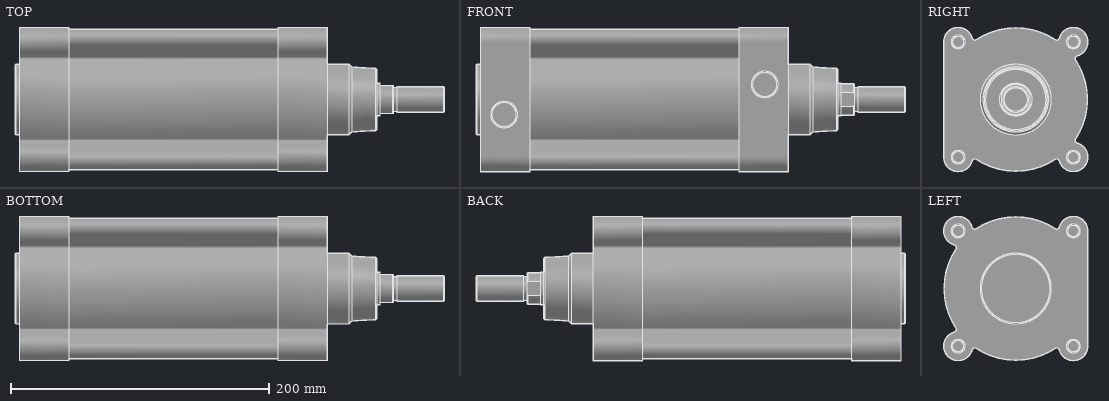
import cadquery as cq
import math


overall_length = 333.0

cap_length = 38.3
cap_radius = 55.5
cap_half_size = 56.0
cap_lobe_radius = 11.3
cap_lobe_offset = cap_half_size - cap_lobe_radius
cap_notch_fillet = 2.0

screw_hole_radius = 4.3
screw_hole_depth = 20.0
screw_hole_chamfer = 1.0

port_radius = 9.3
port_depth = 23.3
port_chamfer = 1.0
port_setback = 18.3
port_height = 11.5

boss_diameter = 55.0
boss_radius = boss_diameter / 2
boss_length = 3.5
boss_chamfer = 1.0
collar_length = 16.5
shoulder_chamfer = 2.3
nose_length = 21.5
nose_base_radius = 25.3
nose_middle_radius = 24.5
nose_end_radius = 24.3
nose_chamfer = 1.0

barrel_length = 162.0
barrel_radius = 53.0
rib_width = 15.0
rib_radius = rib_width / 2
rib_offset = 47.0
rib_fillet = 2.0

rod_diameter = 25.3
rod_radius = rod_diameter / 2
shank_diameter = 24.5
shank_radius = shank_diameter / 2
rod_projection = 13.0
shank_chamfer = 0.5
flat_offset = 11.0
shank_setback = 2.5
relief_radius = 9.3
relief_length = 2.5
thread_diameter = 20.0
thread_radius = thread_diameter / 2
thread_chamfer = 1.0

front_cap_start = cap_length + barrel_length
front_face = front_cap_start + cap_length
collar_end = front_face + collar_length
nose_end = collar_end + nose_length
rod_shoulder = nose_end + rod_projection
shank_start = nose_end + shank_setback
thread_start = rod_shoulder + relief_length
thread_length = overall_length - boss_length - thread_start


def x_cylinder(radius, start, length, y=0.0, z=0.0):
    """A cylinder along X that begins at `start`."""
    return cq.Workplane("YZ", origin=(start, y, z)).circle(radius).extrude(length)


def corners(offset):
    """The four (y, z) corner places at the given offset from the axis."""
    return [(y, z) for y in (-offset, offset) for z in (-offset, offset)]


def cap_notches():
    """The (y, z) places where the round of the cap meets its lobes, apart from the flat -Y side."""
    lobe_distance = cap_lobe_offset * math.sqrt(2)
    along = (cap_radius**2 - cap_lobe_radius**2 + lobe_distance**2) / (2 * lobe_distance)
    across = math.sqrt(cap_radius**2 - along**2)
    near = (along - across) / math.sqrt(2)
    far = (along + across) / math.sqrt(2)
    top_and_bottom = [(y, z) for y in (-near, near) for z in (-far, far)]
    back = [(far, -near), (far, near)]
    return top_and_bottom + back


def cap_body(start):
    """The cap outline: a round with four corner lobes, flat on the -Y side."""
    body = x_cylinder(cap_radius, start, cap_length)
    for y, z in corners(cap_lobe_offset):
        body = body.union(x_cylinder(cap_lobe_radius, start, cap_length, y, z))
    flat_side_outline = [
        (0, 0),
        (-cap_lobe_offset, -cap_lobe_offset),
        (-cap_half_size, -cap_lobe_offset),
        (-cap_half_size, cap_lobe_offset),
        (-cap_lobe_offset, cap_lobe_offset),
    ]
    flat_side = cq.Workplane("YZ", origin=(start, 0, 0)).polyline(flat_side_outline).close()
    body = body.union(flat_side.extrude(cap_length))

    middle = start + cap_length / 2
    for y, z in cap_notches():
        notch_edge = cq.selectors.NearestToPointSelector((middle, y, z))
        body = body.edges(notch_edge).fillet(cap_notch_fillet)
    return body


def chamfered_hole(radius, depth, chamfer, origin, direction):
    """The space of a blind hole whose mouth is chamfered."""
    plane = cq.Plane(origin=origin, normal=direction)
    bore = cq.Workplane(plane).circle(radius).extrude(depth)
    mouth = cq.Workplane(plane).circle(radius + chamfer).extrude(chamfer, taper=45)
    return bore.union(mouth)


def cut_screw_holes(cap, outer_face, inward):
    """One screw hole in each lobe; `inward` is the sign of X going into the cap."""
    for y, z in corners(cap_lobe_offset):
        hole = chamfered_hole(
            screw_hole_radius, screw_hole_depth, screw_hole_chamfer, (outer_face, y, z), (inward, 0, 0)
        )
        cap = cap.cut(hole)
    return cap


def cut_port(cap, x, z):
    port = chamfered_hole(port_radius, port_depth, port_chamfer, (x, -cap_half_size, z), (0, 1, 0))
    return cap.cut(port)


def make_rear_cap():
    cap = cut_screw_holes(cap_body(0), 0, 1)
    cap = cut_port(cap, port_setback, -port_height)
    boss = x_cylinder(boss_radius, -boss_length, boss_length).faces("<X").chamfer(boss_chamfer)
    return cap.union(boss)


def make_collar():
    """The turned collar: a cylinder, a chamfered shoulder and a tapering, slightly hollow nose."""
    nose_start = collar_end + shoulder_chamfer
    nose_middle = (nose_start + nose_end) / 2
    half_section = (
        cq.Workplane("XY")
        .moveTo(front_face, 0)
        .lineTo(front_face, boss_radius)
        .lineTo(collar_end, boss_radius)
        .lineTo(nose_start, nose_base_radius)
        .threePointArc((nose_middle, nose_middle_radius), (nose_end - nose_chamfer, nose_end_radius))
        .lineTo(nose_end, nose_end_radius - nose_chamfer)
        .lineTo(nose_end, 0)
        .close()
    )
    return half_section.revolve(360, (0, 0, 0), (1, 0, 0))


def make_front_cap():
    cap = cut_screw_holes(cap_body(front_cap_start), front_face, -1)
    cap = cut_port(cap, front_face - port_setback, port_height)
    rod_bore = x_cylinder(rod_radius, front_cap_start, nose_end - front_cap_start)
    return cap.union(make_collar()).cut(rod_bore)


def make_barrel():
    """A round barrel with four round-ended ribs that point at the corners."""
    barrel = x_cylinder(barrel_radius, cap_length, barrel_length)
    rib_distance = rib_offset * math.sqrt(2)
    rib_web = cq.Workplane("XY").box(
        barrel_length, rib_distance, rib_width, centered=(False, False, True)
    )
    rib = rib_web.translate((cap_length, 0, 0)).union(
        x_cylinder(rib_radius, cap_length, barrel_length, y=rib_distance)
    )
    rib_angles = [45 + 90 * quarter for quarter in range(4)]
    for angle in rib_angles:
        barrel = barrel.union(rib.rotate((0, 0, 0), (1, 0, 0), angle))

    middle = cap_length + barrel_length / 2
    half_rib_angle = math.asin(rib_radius / barrel_radius)
    for angle in rib_angles:
        for side in (-half_rib_angle, half_rib_angle):
            root_angle = math.radians(angle) + side
            root = (middle, barrel_radius * math.cos(root_angle), barrel_radius * math.sin(root_angle))
            barrel = barrel.edges(cq.selectors.NearestToPointSelector(root)).fillet(rib_fillet)
    return barrel


def make_rod():
    """The rod, its shank with two spanner flats, and a threaded end behind a relief."""
    rod = x_cylinder(rod_radius, front_cap_start, shank_start - front_cap_start)

    shank_length = rod_shoulder - shank_start
    shank = x_cylinder(shank_radius, shank_start, shank_length).faces(">X").chamfer(shank_chamfer)
    between_flats = cq.Workplane("XY").box(
        shank_length, 2 * flat_offset, shank_diameter, centered=(False, True, True)
    )
    shank = shank.intersect(between_flats.translate((shank_start, 0, 0)))

    relief = x_cylinder(relief_radius, rod_shoulder, relief_length)
    thread = x_cylinder(thread_radius, thread_start, thread_length).faces(">X").chamfer(thread_chamfer)
    return rod.union(shank).union(relief).union(thread)


rear_cap = make_rear_cap()
barrel = make_barrel()
front_cap = make_front_cap()
rod = make_rod()

result = cq.Compound.makeCompound([rear_cap.val(), barrel.val(), front_cap.val(), rod.val()])